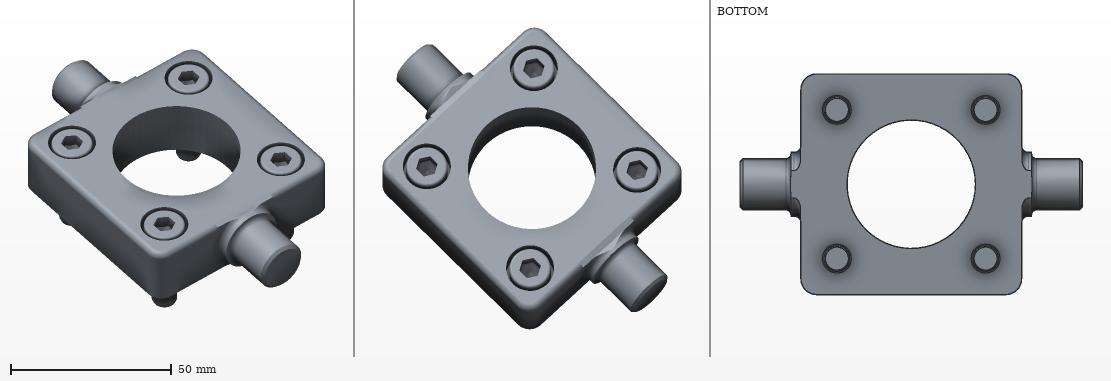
import cadquery as cq
import math

plate_side = 69.0
plate_height = 19.0
corner_radius = 5.0
top_round = 2.0
bore_diameter = 40.0

overall_length = 107.0
trunnion_radius = 8.0
trunnion_chamfer = 1.0
trunnion_root_round = 1.5
collar_diameter = 20.0
collar_length = 3.1
collar_root_round = 2.0

land_width = 22.0
valley_depth = 0.4

overall_height = 33.0
screw_offset = 23.2
shank_diameter = 8.0
clearance_diameter = 9.0
counterbore_diameter = 15.0
head_diameter = 13.0
head_height = 8.0
head_round = 0.7
tip_chamfer_height = 1.0
tip_chamfer_width = 0.4
socket_width = 6.0
socket_depth = 4.0
socket_point_depth = 2.0

half_side = plate_side / 2
collar_radius = collar_diameter / 2
trunnion_axis_z = -collar_radius
half_length = overall_length / 2
collar_face_x = half_side + collar_length
socket_corner_diameter = socket_width / math.cos(math.pi / 6)
screw_positions = [(x, y) for x in (-screw_offset, screw_offset) for y in (-screw_offset, screw_offset)]


def make_plate():
    block = cq.Workplane("XY").rect(plate_side, plate_side).extrude(-plate_height)
    block = block.edges("|Z").fillet(corner_radius)
    return block.faces(">Z").edges().fillet(top_round)


def add_lands(plate):
    land = cq.Workplane("XY").rect(plate_side, land_width).extrude(-2 * top_round)
    return plate.union(land)


def make_trunnions():
    """Both stub shafts and collars as one bar through the plate, blended by concave rounds."""
    root_x = half_side + collar_root_round
    root_radius = collar_radius + collar_root_round
    flare_x = collar_face_x + trunnion_root_round
    profile = (
        cq.Workplane("XZ")
        .lineTo(0, root_radius)
        .lineTo(half_side, root_radius)
        .radiusArc((root_x, collar_radius), -collar_root_round)
        .lineTo(collar_face_x, collar_radius)
        .lineTo(collar_face_x, trunnion_radius + trunnion_root_round)
        .radiusArc((flare_x, trunnion_radius), -trunnion_root_round)
        .lineTo(half_length - trunnion_chamfer, trunnion_radius)
        .lineTo(half_length, trunnion_radius - trunnion_chamfer)
        .lineTo(half_length, 0)
        .close()
    )
    shaft = profile.revolve(360, (0, 0, 0), (1, 0, 0))
    return shaft.union(shaft.mirror("YZ")).translate((0, 0, trunnion_axis_z))


def trim_to_plate_height(body):
    """Flatten the collars where they reach past the plate's top and bottom faces."""
    slab = cq.Workplane("XY").rect(2 * overall_length, plate_side).extrude(-plate_height)
    return body.intersect(slab)


def cut_valleys(body):
    for side in (-1, 1):
        valley = (
            cq.Workplane("XZ")
            .moveTo(side * (half_side - top_round), 0)
            .lineTo(side * half_side, -valley_depth)
            .lineTo(side * (half_side + collar_root_round), 0)
            .close()
            .extrude(land_width / 2, both=True)
        )
        body = body.cut(valley)
    return body


def cut_holes(body):
    bore = cq.Workplane("XY").circle(bore_diameter / 2).extrude(-plate_height)
    clearance = (
        cq.Workplane("XY").pushPoints(screw_positions).circle(clearance_diameter / 2).extrude(-plate_height)
    )
    counterbores = (
        cq.Workplane("XY").pushPoints(screw_positions).circle(counterbore_diameter / 2).extrude(-head_height)
    )
    return body.cut(bore).cut(clearance).cut(counterbores)


def make_screw():
    tip_radius = shank_diameter / 2 - tip_chamfer_width
    head_radius = head_diameter / 2
    body = (
        cq.Workplane("XZ")
        .lineTo(head_radius - head_round, 0)
        .radiusArc((head_radius, -head_round), head_round)
        .lineTo(head_radius, -head_height)
        .lineTo(shank_diameter / 2, -head_height)
        .lineTo(shank_diameter / 2, tip_chamfer_height - overall_height)
        .lineTo(tip_radius, -overall_height)
        .lineTo(0, -overall_height)
        .close()
        .revolve(360, (0, 0, 0), (0, 1, 0))
    )
    return body.cut(make_socket())


def make_socket():
    """Hexagonal recess with a conical bottom that starts at the hexagon's corners."""
    full_depth = socket_depth + socket_point_depth
    hexagon = cq.Workplane("XY").polygon(6, socket_corner_diameter).extrude(-full_depth)
    pointed_bar = (
        cq.Workplane("XZ")
        .lineTo(socket_corner_diameter / 2, 0)
        .lineTo(socket_corner_diameter / 2, -socket_depth)
        .lineTo(0, -full_depth)
        .close()
        .revolve(360, (0, 0, 0), (0, 1, 0))
    )
    return hexagon.intersect(pointed_bar)


body = add_lands(make_plate()).union(make_trunnions())
body = trim_to_plate_height(body)
body = cut_valleys(body)
body = cut_holes(body)
screw = make_screw()
for x, y in screw_positions:
    body = body.union(screw.translate((x, y, 0)))

result = body